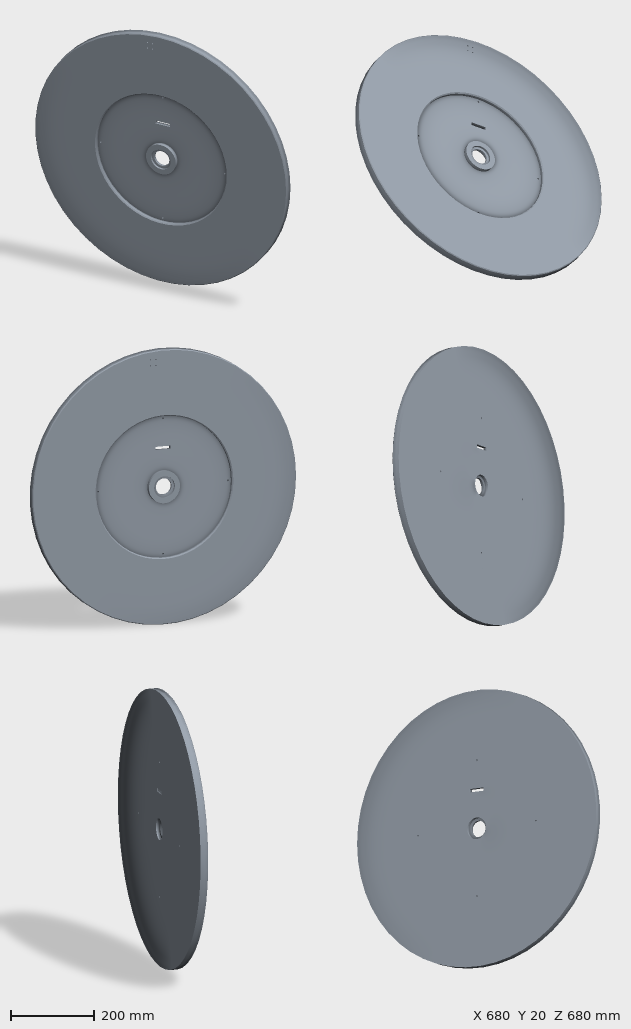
import cadquery as cq

disc_diameter = 680.0
thickness = 20.0
edge_chamfer = 2.0

recess_diameter = 350.0
recess_depth = 10.0
recess_chamfer = 3.0

hub_diameter = 80.0
bearing_seat_diameter = 53.0
front_seat_depth = 5.5
back_seat_depth = 8.0
bore_diameter = 40.0

web_hole_diameter = 5.0
web_hole_circle_radius = 167.0
web_hole_count = 4

slot_length = 39.5
slot_width = 8.0
slot_height = 94.5

rim_hole_diameter = 3.5
rim_hole_depth = 10.0
rim_hole_spacing_x = 13.5
rim_hole_spacing_z = 15.0
rim_pattern_x = -29.0
rim_pattern_z = 309.5

front = -thickness / 2
back = thickness / 2
web_front = front + recess_depth
front_seat_floor = front + front_seat_depth
back_seat_floor = back - back_seat_depth


def turned_body():
    """Revolve the half section: web, hub with a bearing seat at each end of the bore, and chamfered rim."""
    disc_radius = disc_diameter / 2
    recess_radius = recess_diameter / 2
    section = [
        (bearing_seat_diameter / 2, back),
        (bearing_seat_diameter / 2, back_seat_floor),
        (bore_diameter / 2, back_seat_floor),
        (bore_diameter / 2, front_seat_floor),
        (bearing_seat_diameter / 2, front_seat_floor),
        (bearing_seat_diameter / 2, front),
        (hub_diameter / 2, front),
        (hub_diameter / 2, web_front),
        (recess_radius, web_front),
        (recess_radius, front + recess_chamfer),
        (recess_radius + recess_chamfer, front),
        (disc_radius - edge_chamfer, front),
        (disc_radius, front + edge_chamfer),
        (disc_radius, back),
    ]
    return cq.Workplane("XY").polyline(section).close().revolve(360, (0, 0, 0), (0, 1, 0))


def front_plane():
    """Sketch plane on the front face, with local X, Y along X, Z and the normal outward."""
    return cq.Workplane("XZ", origin=(0, front, 0))


def web_holes():
    """Through holes evenly spaced near the edge of the recess."""
    sketch = front_plane().polarArray(web_hole_circle_radius, 0, 360, web_hole_count)
    return sketch.circle(web_hole_diameter / 2).extrude(-thickness)


def web_slot():
    """Rectangular through slot above the hub."""
    return front_plane().center(0, slot_height).rect(slot_length, slot_width).extrude(-thickness)


def rim_holes():
    """Two by two group of small blind holes near the rim."""
    sketch = front_plane().center(rim_pattern_x, rim_pattern_z)
    sketch = sketch.rarray(rim_hole_spacing_x, rim_hole_spacing_z, 2, 2)
    return sketch.circle(rim_hole_diameter / 2).extrude(-rim_hole_depth)


result = turned_body().cut(web_holes()).cut(web_slot()).cut(rim_holes())